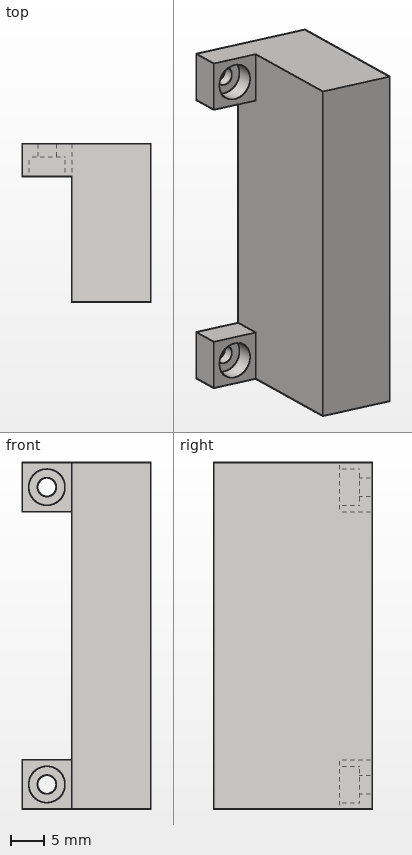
import cadquery as cq

BODY_WIDTH = 12.0
BODY_DEPTH = 24.0
BODY_HEIGHT = 52.5

LUG_SIZE = 7.5
LUG_THICKNESS = 5.0

HOLE_DIAMETER = 2.8
COUNTERBORE_DIAMETER = 5.5
COUNTERBORE_DEPTH = 3.0


def make_body():
    return cq.Workplane("XY").box(BODY_WIDTH, BODY_DEPTH, BODY_HEIGHT, centered=False)


def make_lug(bottom_z):
    """Square lug with a screw hole counterbored from its -Y face."""
    lug = cq.Workplane("XY").box(LUG_SIZE, LUG_THICKNESS, LUG_SIZE, centered=False)
    lug = (
        lug.faces("<Y")
        .workplane(centerOption="CenterOfBoundBox")
        .cboreHole(HOLE_DIAMETER, COUNTERBORE_DIAMETER, COUNTERBORE_DEPTH)
    )
    return lug.translate((-LUG_SIZE, BODY_DEPTH - LUG_THICKNESS, bottom_z))


result = make_body()
for lug_bottom in (0, BODY_HEIGHT - LUG_SIZE):
    result = result.union(make_lug(lug_bottom))